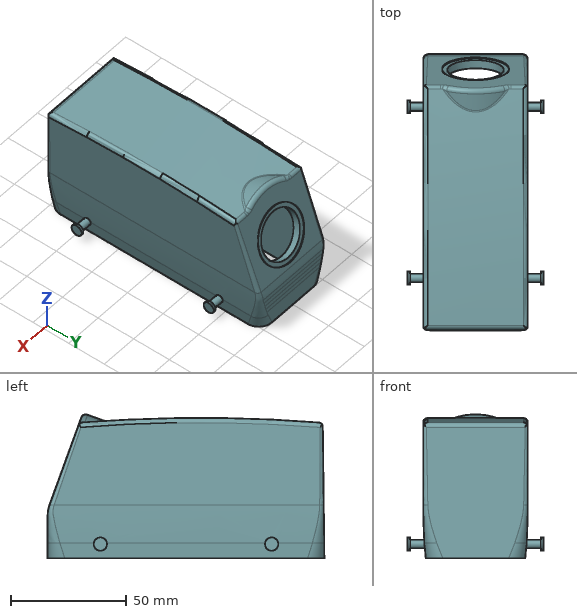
import cadquery as cq
import math

HALF_LENGTH = 60.0
HALF_WIDTH_TOP = 22.7
HALF_WIDTH_SHOULDER = 22.2
HALF_WIDTH_FOOT = 21.6
SHOULDER_Z = 6.8
BLEND_Z = 23.3
LOFT_TOP_Z = 67.2
BACK_TILT = 0.012
WALL = 4.3

CORNER_FOOT = 7.5
CORNER_SHOULDER = 5.3
CORNER_BLEND = 1.9
CORNER_TOP = 1.1
CORNER_FLARE = 1.5
BLEND_STEPS = 7

SLOPE_ANGLE = 20.0
SLOPE_START_Z = 20.9
SLOPE = math.tan(math.radians(SLOPE_ANGLE))
BEND_BOTTOM_Z = 2 * SLOPE_START_Z - BLEND_Z

CROWN_END_Z = 58.8
CROWN_TOP_Z = 61.0
CROWN_SPAN = (-59.3, 46.2)
CROWN_FILLET = 2.0

ENTRY_Y = 53.5
ENTRY_Z = SLOPE_START_Z + (HALF_LENGTH - ENTRY_Y) / SLOPE
BORE_RADIUS = 12.2
RECESS_RADIUS = 14.5
RECESS_DEPTH = 0.5
COLLAR_RADIUS = 25.9
COLLAR_LENGTH = 48.0
COLLAR_BLEND = 1.5

SEAM_MIN_Z = 58.1
SEAM_MIN_LENGTH = 8.4
SEAM_MAX_LENGTH = 24.0

PIN_Y = 37.1
PIN_Z = 6.2
PIN_RADIUS = 1.9
PIN_HEAD_RADIUS = 2.9
PIN_HEAD_THICKNESS = 1.2
PIN_REACH = 29.5
PIN_ROOT = 19.8


def half_width(z):
    if z >= BLEND_Z:
        return HALF_WIDTH_TOP
    if z >= SHOULDER_Z:
        drop = (BLEND_Z - z) / (BLEND_Z - SHOULDER_Z)
        return HALF_WIDTH_TOP - (HALF_WIDTH_TOP - HALF_WIDTH_SHOULDER) * drop ** 2
    return HALF_WIDTH_FOOT + (HALF_WIDTH_SHOULDER - HALF_WIDTH_FOOT) * z / SHOULDER_Z


def corner_radius(z):
    if z >= BLEND_Z:
        rise = (z - BLEND_Z) / (LOFT_TOP_Z - BLEND_Z)
        return CORNER_BLEND + (CORNER_TOP - CORNER_BLEND) * rise
    if z >= SHOULDER_Z:
        drop = (BLEND_Z - z) / (BLEND_Z - SHOULDER_Z)
        return CORNER_BLEND + (CORNER_SHOULDER - CORNER_BLEND) * drop ** CORNER_FLARE
    return CORNER_FOOT + (CORNER_SHOULDER - CORNER_FOOT) * z / SHOULDER_Z


def front_y(z):
    """Position of the +Y end wall at height z."""
    if z <= BEND_BOTTOM_Z:
        return HALF_LENGTH
    if z >= BLEND_Z:
        return HALF_LENGTH - (z - SLOPE_START_Z) * SLOPE
    return HALF_LENGTH - SLOPE * (z - BEND_BOTTOM_Z) ** 2 / (2 * (BLEND_Z - BEND_BOTTOM_Z))


def section(z):
    """Rounded rectangle of the hood at height z."""
    back = -HALF_LENGTH + BACK_TILT * z
    front = front_y(z)
    return (
        cq.Sketch()
        .push([(0, (front + back) / 2)])
        .rect(2 * half_width(z), front - back)
        .reset()
        .vertices()
        .fillet(corner_radius(z))
        .moved(cq.Location(cq.Vector(0, 0, z)))
    )


def tier(heights, ruled):
    return cq.Workplane("XY").placeSketch(*[section(z) for z in heights]).loft(ruled=ruled)


def spaced(low, high, steps):
    return [low + (high - low) * i / steps for i in range(steps + 1)]


def hood_walls():
    return (
        tier([0, SHOULDER_Z], True)
        .union(tier(spaced(SHOULDER_Z, BLEND_Z, BLEND_STEPS), False))
        .union(tier([BLEND_Z, LOFT_TOP_Z], True))
    )


def crown():
    """Large lying cylinder whose top is the arched roof."""
    back, front = CROWN_SPAN
    half_span = (front - back) / 2
    sag = CROWN_TOP_Z - CROWN_END_Z
    radius = (half_span ** 2 + sag ** 2) / (2 * sag)
    return (
        cq.Workplane("YZ")
        .center((front + back) / 2, CROWN_TOP_Z - radius)
        .circle(radius)
        .extrude(HALF_LENGTH, both=True)
    )


def entry_plane():
    """Plane on the sloping face, centred on the cable entry and facing outwards."""
    angle = math.radians(SLOPE_ANGLE)
    outward = cq.Vector(0, math.cos(angle), math.sin(angle))
    return cq.Plane(origin=(0, ENTRY_Y, ENTRY_Z), xDir=(1, 0, 0), normal=outward)


def is_collar_seam(edge):
    """The curved line where the collar comes out of the roof."""
    box = edge.BoundingBox()
    return box.zmin > SEAM_MIN_Z and SEAM_MIN_LENGTH < box.ylen < SEAM_MAX_LENGTH


def is_roof_rim(edge):
    """Edges round the roof and the collar, leaving out the blended collar seam."""
    length = edge.BoundingBox().ylen
    return edge.Center().z > SEAM_MIN_Z and not SEAM_MIN_LENGTH < length < SEAM_MAX_LENGTH


def round_edges(body, wanted, radius):
    return body.newObject([edge for edge in body.edges().vals() if wanted(edge)]).fillet(radius)


def sharp_block():
    """The hood with square corners, before the roof is cut and rounded."""
    return (
        cq.Workplane("YZ")
        .moveTo(-HALF_LENGTH, 0)
        .lineTo(HALF_LENGTH, 0)
        .lineTo(HALF_LENGTH, SLOPE_START_Z)
        .lineTo(front_y(LOFT_TOP_Z), LOFT_TOP_Z)
        .lineTo(-HALF_LENGTH + BACK_TILT * LOFT_TOP_Z, LOFT_TOP_Z)
        .close()
        .extrude(HALF_WIDTH_TOP, both=True)
    )


def outer_hood():
    block = sharp_block()
    collar = cq.Workplane(entry_plane()).circle(COLLAR_RADIUS).extrude(-COLLAR_LENGTH)
    body = block.intersect(crown()).union(collar.intersect(block)).clean()
    body = round_edges(body, is_collar_seam, COLLAR_BLEND)
    body = round_edges(body, is_roof_rim, CROWN_FILLET)
    return body.intersect(hood_walls())


def cavity():
    """Inside of the hood, parallel to the outer faces in side profile."""
    roof_z = CROWN_END_Z - WALL
    front = HALF_LENGTH - WALL
    back = -HALF_LENGTH + WALL
    slope_wall = WALL / math.cos(math.radians(SLOPE_ANGLE))
    slope_z = SLOPE_START_Z - (slope_wall - WALL) / SLOPE
    slope_top_y = HALF_LENGTH - slope_wall - (roof_z - SLOPE_START_Z) * SLOPE
    return (
        cq.Workplane("YZ")
        .moveTo(back, 0)
        .lineTo(front, 0)
        .lineTo(front, slope_z)
        .lineTo(slope_top_y, roof_z)
        .lineTo(back + BACK_TILT * roof_z, roof_z)
        .close()
        .extrude(HALF_WIDTH_FOOT - WALL, both=True)
    )


def cable_entry():
    recess = cq.Workplane(entry_plane()).circle(RECESS_RADIUS).extrude(-RECESS_DEPTH)
    bore = cq.Workplane(entry_plane()).circle(BORE_RADIUS).extrude(-2 * WALL)
    return recess.union(bore)


def pin(side, y):
    """Headed pin standing out of the side wall; side is -1 or +1."""
    foot = cq.Workplane("YZ", origin=(side * PIN_ROOT, 0, 0)).center(y, PIN_Z)
    shank = foot.circle(PIN_RADIUS).extrude(side * (PIN_REACH - PIN_ROOT))
    head_start = side * (PIN_REACH - PIN_HEAD_THICKNESS)
    head = (
        cq.Workplane("YZ", origin=(head_start, 0, 0))
        .center(y, PIN_Z)
        .circle(PIN_HEAD_RADIUS)
        .extrude(side * PIN_HEAD_THICKNESS)
    )
    return shank.union(head)


result = outer_hood().cut(cavity()).cut(cable_entry())
for side in (-1, 1):
    for pin_y in (-PIN_Y, PIN_Y):
        result = result.union(pin(side, pin_y))